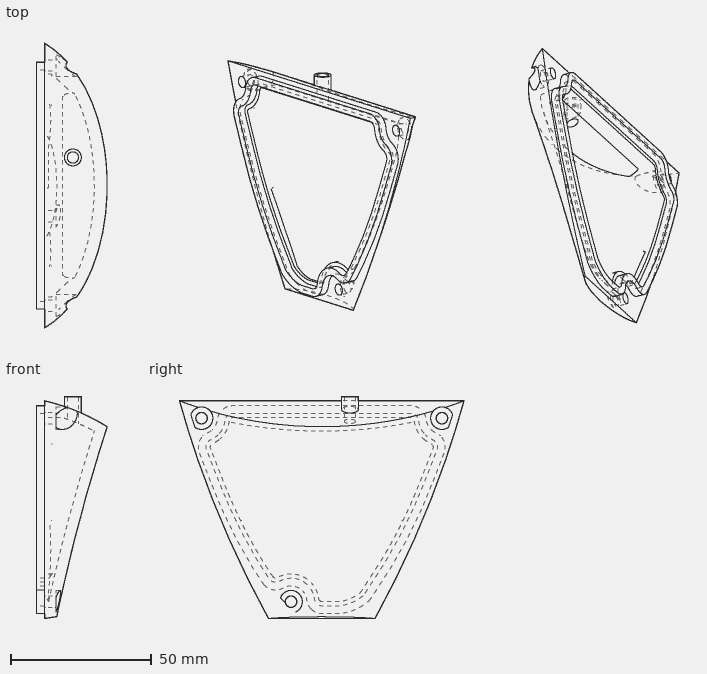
import cadquery as cq


height = 77.4
stations = [
    (0.0, 18.95, 4.2),
    (38.7, 37.4, 13.5),
    (height, 50.585, 25.25),
]
arc_fullness = 0.93
arc_samples = [-1, -0.9, -0.7, -0.4, 0, 0.4, 0.7, 0.9, 1]
side_wall = 4.0
front_wall = 4.1
dome_back = 5.0

dome_depth = 22.19
roof_mid = (11.0, 73.9)
roof_end_height = 68.2
roof_wall = 4.2
underside_depth = 4.33
underside_rise = 0.65

core_top = (41.9, 70.1)
core_shoulder = (34.5, 51.1)
core_flank_upper = (31.25, 43.1)
core_flank_mid = (27.65, 35.25)
core_hip = (20.0, 21.3)
core_knee = (12.75, 10.1)
core_bottom_mid = (9.2, 8.1)
core_bottom = (6.0, 7.3)
core_splay = (11.0, 0.0)
mouth_offset = 1.3
ledge_width = 1.5
lip_width = 2.75
lip_height = 3.0
floor_fillet = 1.0

screw_points = [(-42.7, 71.2), (42.7, 71.2), (-10.9, 6.0)]
screw_diameter = 4.0
head_diameter = 8.0
head_seat = 4.0
boss_radius = 11.15

tube_x = 10.0
tube_y = 10.0
tube_outer = 6.0
tube_bore = 4.0
tube_top = 78.87
tube_root = 72.0
bore_bottom = 66.0


def dome_section(z, half_width, depth):
    """Closed wire at height z: an elliptic arc bulging to +X from X = 0, boxed in behind X = 0."""
    chord_fraction = (1 - arc_fullness**2) ** 0.5
    radius_x = depth / (1 - chord_fraction)
    radius_y = half_width / arc_fullness
    center_x = -radius_x * chord_fraction

    def arc_point(y):
        return cq.Vector(center_x + radius_x * (1 - (y / radius_y) ** 2) ** 0.5, y, z)

    points = [arc_point(half_width * fraction) for fraction in arc_samples]
    arc = cq.Edge.makeSpline(points)
    back_corners = [cq.Vector(-dome_back, half_width, z), cq.Vector(-dome_back, -half_width, z)]
    back = cq.Wire.makePolygon([points[-1], *back_corners, points[0]])
    return cq.Wire.assembleEdges([arc, *back.Edges()])


def dome_loft(side_inset, depth_inset):
    sections = [dome_section(z, w - side_inset, d - depth_inset) for z, w, d in stations]
    return cq.Workplane(obj=cq.Solid.makeLoft(sections))


def roof_prism(drop):
    """Block below the curved roof, lowered by drop, and above the sloping underside."""
    reach = stations[-1][1] + 1
    return (
        cq.Workplane("XZ")
        .moveTo(0, 0)
        .lineTo(underside_depth, underside_rise)
        .lineTo(dome_depth, underside_rise)
        .lineTo(dome_depth, roof_end_height - drop)
        .threePointArc((roof_mid[0], roof_mid[1] - drop), (0, height - drop))
        .close()
        .extrude(reach, both=True)
    )


def mirrored(point):
    return (-point[0], point[1])


def scalloped_wire(profile):
    """Outline of a closed YZ profile after clearing a circle around each screw."""
    plate = profile.extrude(dome_depth)
    screws = cq.Workplane("YZ").pushPoints(screw_points).circle(boss_radius).extrude(dome_depth)
    return plate.cut(screws).faces("<X").val().outerWire()


def core_wire():
    """Sharp-cornered outline that the mouth and the lip are grown from."""
    profile = (
        cq.Workplane("YZ")
        .moveTo(*core_top)
        .lineTo(*core_shoulder)
        .threePointArc(core_flank_mid, core_hip)
        .lineTo(*core_knee)
        .threePointArc(core_bottom_mid, core_bottom)
        .lineTo(*mirrored(core_bottom))
        .threePointArc(mirrored(core_bottom_mid), mirrored(core_knee))
        .lineTo(*mirrored(core_hip))
        .threePointArc(mirrored(core_flank_mid), mirrored(core_shoulder))
        .lineTo(*mirrored(core_top))
        .close()
    )
    return scalloped_wire(profile)


def splayed_wire():
    """Core outline whose lower end is opened up, so only bosses and upper flanks bound it."""
    profile = (
        cq.Workplane("YZ")
        .moveTo(*mirrored(core_top))
        .lineTo(*core_top)
        .lineTo(*core_shoulder)
        .threePointArc(core_flank_upper, core_flank_mid)
        .lineTo(*core_splay)
        .lineTo(*mirrored(core_splay))
        .lineTo(*mirrored(core_flank_mid))
        .threePointArc(mirrored(core_flank_upper), mirrored(core_shoulder))
        .close()
    )
    return scalloped_wire(profile)


def outline(wire, offset, start=0.0):
    """Wire grown by offset, ready to extrude from X = start."""
    grown = [piece.translate(cq.Vector(start, 0, 0)) for piece in wire.offset2D(offset)]
    return cq.Workplane("YZ").newObject(grown).toPending()


def cavity():
    """Hollow with rounded floor edges at the bosses and upper flanks, sharp ones at the bottom."""
    walls = outline(splayed_wire(), mouth_offset, -dome_back).extrude(dome_back + dome_depth)
    pocket = walls.intersect(dome_loft(side_wall, front_wall))
    pocket = pocket.faces(">X").edges("not <Z").fillet(floor_fillet)
    mouth = outline(core_wire(), mouth_offset).extrude(dome_depth)
    return pocket.intersect(mouth).intersect(roof_prism(roof_wall))


def lip():
    inner_offset = mouth_offset + ledge_width
    outer = outline(core_wire(), inner_offset + lip_width).extrude(-lip_height)
    return outer.cut(outline(core_wire(), inner_offset).extrude(-lip_height))


def screw_cuts():
    holes = cq.Workplane("YZ").pushPoints(screw_points).circle(screw_diameter / 2).extrude(dome_depth)
    heads = (
        cq.Workplane("YZ", origin=(head_seat, 0, 0))
        .pushPoints(screw_points)
        .circle(head_diameter / 2)
        .extrude(dome_depth)
    )
    return holes.union(heads)


def upright_cylinder(diameter, bottom):
    base = cq.Workplane("XY", origin=(tube_x, tube_y, bottom))
    return base.circle(diameter / 2).extrude(tube_top - bottom)


result = dome_loft(0, 0).intersect(roof_prism(0))
result = result.cut(cavity()).cut(screw_cuts()).union(lip())
result = result.union(upright_cylinder(tube_outer, tube_root))
result = result.cut(upright_cylinder(tube_bore, bore_bottom))